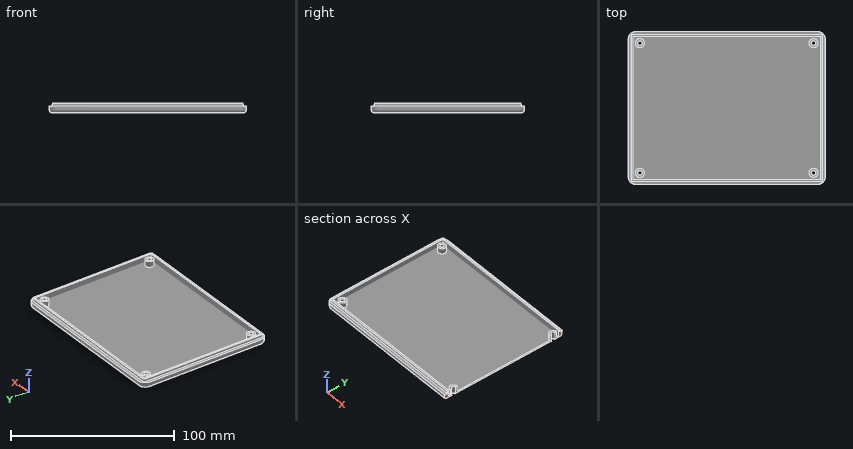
import cadquery as cq

length = 120.5
width = 93.6
height = 6.0
corner_radius = 5.1
bottom_fillet = 1.9

wall_draft = 1.0

lip_height = 1.9
lip_inset = 1.9
lip_corner_radius = 1.0
lip_thickness = 1.2

floor_thickness = 1.6
recess_fillet = 0.2

boss_diameter = 5.5
boss_hole_diameter = 2.7
boss_inset = 7.2
boss_drop = 0.4

base_height = height - lip_height
recess_depth = height - floor_thickness
recess_inset = lip_inset + lip_thickness


def inset_rectangle(inset, z):
    """Centred rectangle lying inset from the cover's sides, at height z."""
    return cq.Workplane("XY").workplane(offset=z).rect(length - 2 * inset, width - 2 * inset)


def make_base():
    block = inset_rectangle(0, 0).extrude(base_height)
    return block.edges("|Z").fillet(corner_radius).faces("<Z").edges().fillet(bottom_fillet)


def make_lip():
    outline = cq.Sketch().rect(length - 2 * lip_inset, width - 2 * lip_inset)
    outline = outline.vertices().fillet(lip_corner_radius)
    lip_plane = cq.Workplane("XY").workplane(offset=base_height)
    return lip_plane.placeSketch(outline).extrude(lip_height, taper=wall_draft)


def make_recess():
    opening = inset_rectangle(recess_inset, height)
    recess = opening.extrude(-recess_depth, taper=wall_draft)
    return recess.faces("<Z").edges().fillet(recess_fillet)


def at_boss_centres():
    """Base plane with a point at each of the four boss centres."""
    plane = cq.Workplane("XY")
    return plane.rect(length - 2 * boss_inset, width - 2 * boss_inset, forConstruction=True).vertices()


bosses = at_boss_centres().circle(boss_diameter / 2).extrude(height - boss_drop)
screw_holes = at_boss_centres().circle(boss_hole_diameter / 2).extrude(height)

result = make_base().union(make_lip()).cut(make_recess()).union(bosses).cut(screw_holes)